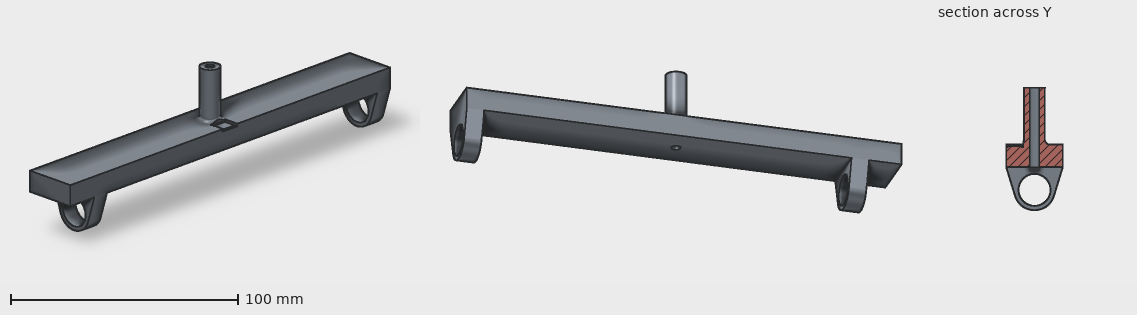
import cadquery as cq
import math

bar_width = 25.0
bar_length = 200.0
bar_height = 10.0

post_height = 25.0
post_diameter = 9.5
bore_diameter = 4.0
post_fillet = 2.2

notch_start = 5.0
notch_width = 9.0
notch_depth = 1.2
pad_drop = 0.5
pad_side_gap = 1.2
pad_end_gap = 0.5

lug_drop = 19.0
lug_thickness = 8.0
lug_radius = 9.0
lug_hole_diameter = 14.0
front_lug_start = -85.0
lug_axis_z = lug_radius - lug_drop


def make_bar():
    return cq.Workplane("XY").box(bar_width, bar_length, bar_height, centered=(True, True, False))


def add_post(body):
    post = cq.Workplane("XY").workplane(offset=bar_height).circle(post_diameter / 2).extrude(post_height)
    foot = cq.selectors.BoxSelector(
        (-post_diameter, -post_diameter, bar_height - 0.2),
        (post_diameter, post_diameter, bar_height + 0.2),
    )
    return body.union(post).edges(foot).fillet(post_fillet)


def make_bore():
    return cq.Workplane("XY").circle(bore_diameter / 2).extrude(bar_height + post_height)


def make_notch():
    notch_length = bar_width / 2 - notch_start
    return (
        cq.Workplane("XY")
        .workplane(offset=bar_height - notch_depth)
        .center(notch_start + notch_length / 2, 0)
        .rect(notch_length, notch_width)
        .extrude(notch_depth + post_height)
    )


def make_pad():
    pad_length = bar_width / 2 - notch_start - 2 * pad_end_gap
    return (
        cq.Workplane("XY")
        .workplane(offset=bar_height - notch_depth)
        .center(notch_start + pad_end_gap + pad_length / 2, 0)
        .rect(pad_length, notch_width - 2 * pad_side_gap)
        .extrude(notch_depth - pad_drop)
    )


def make_lug(start_y):
    half_width = bar_width / 2
    corner_distance = math.hypot(half_width, lug_axis_z)
    corner_angle = math.atan2(-lug_axis_z, half_width)
    tangent_angle = corner_angle - math.acos(lug_radius / corner_distance)
    tangent_x = lug_radius * math.cos(tangent_angle)
    tangent_z = lug_axis_z + lug_radius * math.sin(tangent_angle)
    end_plane = cq.Workplane("XZ", origin=(0, start_y + lug_thickness, 0))
    lug = (
        end_plane.moveTo(-half_width, 0)
        .lineTo(half_width, 0)
        .lineTo(tangent_x, tangent_z)
        .threePointArc((0, -lug_drop), (-tangent_x, tangent_z))
        .close()
        .extrude(lug_thickness)
    )
    hole = end_plane.center(0, lug_axis_z).circle(lug_hole_diameter / 2).extrude(lug_thickness)
    return lug.cut(hole)


result = add_post(make_bar()).cut(make_bore()).cut(make_notch()).union(make_pad())
for lug_start in (front_lug_start, bar_length / 2 - lug_thickness):
    result = result.union(make_lug(lug_start))